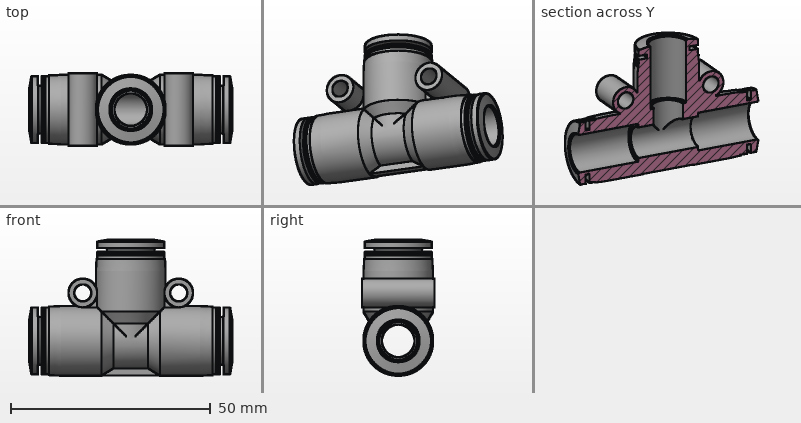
import cadquery as cq
import math

arm_length = 25.4
body_radius = 17.5 / 2
front_radius = 16.8 / 2
taper_front_radius = 8.6
neck_radius = 7.0

waist_end = 4.35
shoulder_start = 7.3
taper_start = 17.4
taper_end = 20.45
joint_position = 21.5
nose_face = 22.3
collar_back = 23.2
joint_half_width = 0.15
joint_depth = 0.1
nose_chamfer = 0.15

collar_stem_radius = 12.0 / 2
collar_rim_chamfer = 0.2
collar_root_chamfer = 0.15
collar_face_drop = 0.5
tube_radius = 10.0 / 2
mouth_chamfer = 0.35
socket_depth = 17.0
seat_chamfer = 0.25
bore_radius = 8.1 / 2

lug_radius = 7.2 / 2
lug_hole_radius = 4.2 / 2
lug_length = 18.2
lug_offset = 12.0
lug_web_thickness = 5.0

rib_thickness = 2.5

ARM_TURNS = (-90, 0, 90)
SIDES = (-1, 1)


def make_arm():
    """Solid outside shape of one arm along +Z."""
    mouth_radius = tube_radius + mouth_chamfer
    rim_base = arm_length - collar_face_drop - collar_rim_chamfer
    outline = [
        (0, 0),
        (neck_radius, 0),
        (neck_radius, waist_end),
        (body_radius, shoulder_start),
        (body_radius, taper_start),
        (taper_front_radius, taper_end),
        (front_radius, taper_end),
        (front_radius, joint_position - joint_half_width),
        (front_radius - joint_depth, joint_position),
        (front_radius, joint_position + joint_half_width),
        (front_radius, nose_face - nose_chamfer),
        (front_radius - nose_chamfer, nose_face),
        (collar_stem_radius, nose_face),
        (collar_stem_radius, collar_back - collar_root_chamfer),
        (collar_stem_radius + collar_root_chamfer, collar_back),
        (front_radius, collar_back),
        (front_radius, rim_base),
        (front_radius - collar_rim_chamfer, rim_base + collar_rim_chamfer),
        (mouth_radius, arm_length),
        (0, arm_length),
    ]
    return cq.Workplane("XZ").polyline(outline).close().revolve(360, (0, 0), (0, 1))


def make_arm_bore():
    """Stepped bore of one arm along +Z: passage, tube socket and chamfered mouth."""
    socket_floor = arm_length - socket_depth
    outline = [
        (0, 0),
        (bore_radius, 0),
        (bore_radius, socket_floor),
        (tube_radius - seat_chamfer, socket_floor),
        (tube_radius, socket_floor + seat_chamfer),
        (tube_radius, arm_length - mouth_chamfer),
        (tube_radius + mouth_chamfer, arm_length),
        (0, arm_length),
    ]
    return cq.Workplane("XZ").polyline(outline).close().revolve(360, (0, 0), (0, 1))


def turn(shape, angle):
    return shape.rotate((0, 0, 0), (0, 1, 0), angle)


def along_y(radius, length, x, z):
    """Cylinder along Y, centred on the XZ plane."""
    end_plane = cq.Workplane("XZ", origin=(x, length / 2, z))
    return end_plane.circle(radius).extrude(length)


def make_lug(side):
    """Lug sleeve with the web that fills the corner between it and two arms."""
    sleeve = along_y(lug_radius, lug_length, side * lug_offset, lug_offset)
    web_start = neck_radius
    web_size = lug_offset - web_start
    web_centre = (lug_offset + web_start) / 2
    web = cq.Workplane("XY").box(web_size, lug_web_thickness, web_size)
    return sleeve.union(web.translate((side * web_centre, 0, web_centre)))


def make_rib():
    """Flat rib that fills the waist up to the underside of the body."""
    rib_bottom = math.sqrt(body_radius**2 - (rib_thickness / 2)**2)
    rib = cq.Workplane("XY").box(2 * shoulder_start, rib_thickness, rib_bottom)
    return rib.translate((0, 0, -rib_bottom / 2))


fitting = make_rib()
for angle in ARM_TURNS:
    fitting = fitting.union(turn(make_arm(), angle))
for side in SIDES:
    fitting = fitting.union(make_lug(side))

for angle in ARM_TURNS:
    fitting = fitting.cut(turn(make_arm_bore(), angle))
for side in SIDES:
    fitting = fitting.cut(along_y(lug_hole_radius, lug_length, side * lug_offset, lug_offset))

result = fitting